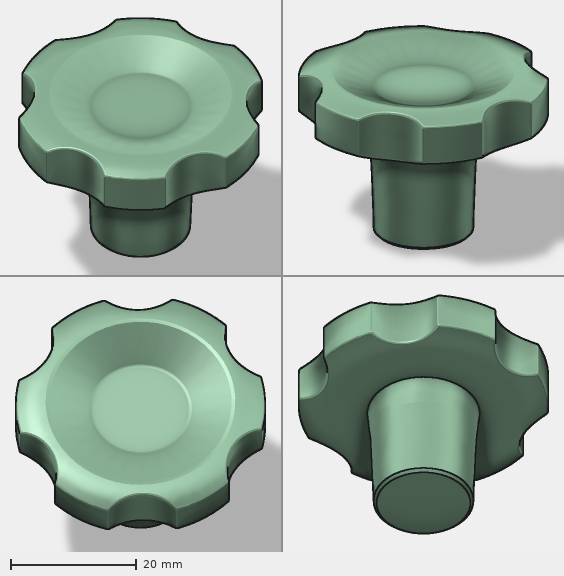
import cadquery as cq
import math

head_top = 28.0
head_bottom = 18.9
head_radius = 20.0

dish_rim_radius = 14.87
top_crown_radius = 12.5
bottom_flat_radius = 13.9
bottom_crown_radius = 12.5

scallop_count = 6
scallop_radius = 7.5
scallop_center_radius = 24.5
first_scallop_angle = 30.0
edge_round = 0.5

dish_floor_radius = 8.0
dish_depth = 2.7
dish_round = 1.5

stem_end_radius = 8.0
neck_radius = 8.5
stem_top_radius = 9.0
neck_height = 14.1
stem_chamfer = 0.5


def crown_drop(radius, flat_radius, crown_radius):
    """Depth, at the given radius, of a crown arc that is level at flat_radius."""
    return crown_radius - math.sqrt(crown_radius**2 - (radius - flat_radius) ** 2)


def make_head_blank():
    middle_of_top = (dish_rim_radius + head_radius) / 2
    middle_of_bottom = (bottom_flat_radius + head_radius) / 2

    def top_point(radius):
        return (radius, head_top - crown_drop(radius, dish_rim_radius, top_crown_radius))

    def bottom_point(radius):
        return (radius, head_bottom + crown_drop(radius, bottom_flat_radius, bottom_crown_radius))

    return (
        cq.Workplane("XZ")
        .moveTo(0, head_bottom)
        .lineTo(bottom_flat_radius, head_bottom)
        .threePointArc(bottom_point(middle_of_bottom), bottom_point(head_radius))
        .lineTo(*top_point(head_radius))
        .threePointArc(top_point(middle_of_top), top_point(dish_rim_radius))
        .lineTo(dish_floor_radius, head_top - dish_depth)
        .lineTo(0, head_top - dish_depth)
        .close()
        .revolve(360, (0, 0, 0), (0, 1, 0))
    )


def cut_scallops(head):
    cutters = (
        cq.Workplane("XY")
        .polarArray(scallop_center_radius, 0, 360, scallop_count)
        .circle(scallop_radius)
        .extrude(head_top)
    )
    return head.cut(cutters)


def round_rim(head):
    """Round every edge of the scalloped rim, leaving the edges nearer the axis alone."""
    scallop_floor_radius = scallop_center_radius - scallop_radius
    rim_edges = [
        edge
        for edge in head.edges().vals()
        if math.hypot(edge.Center().x, edge.Center().y) > scallop_floor_radius
    ]
    return head.newObject(rim_edges).fillet(edge_round)


def make_stem():
    return (
        cq.Workplane("XZ")
        .lineTo(stem_end_radius - stem_chamfer, 0)
        .lineTo(stem_end_radius, stem_chamfer)
        .lineTo(neck_radius, neck_height)
        .lineTo(stem_top_radius, head_bottom)
        .lineTo(0, head_bottom)
        .close()
        .revolve(360, (0, 0, 0), (0, 1, 0))
    )


def round_dish(head):
    """Round the dish rim and floor, the only full circles above the underside of the head."""
    dish_edges = [
        edge
        for edge in head.edges("%CIRCLE").vals()
        if edge.IsClosed() and edge.Center().z > head_top - dish_depth - dish_round
    ]
    return head.newObject(dish_edges).fillet(dish_round)


head = round_dish(round_rim(cut_scallops(make_head_blank())))
head = head.rotate((0, 0, 0), (0, 0, 1), first_scallop_angle)
result = head.union(make_stem())